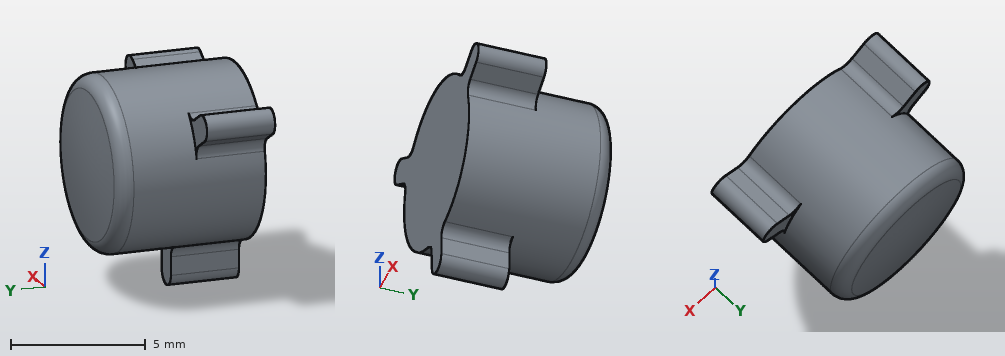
import cadquery as cq
import math

overall_width = 8.79
total_depth = 6.0
body_radius = 3.4
dome_radius = 22.415
rim_radius = 0.6
arm_depth = 2.7
arm_half_width = 0.5
root_radius = 0.5
arm_angles = (0, 120, 240)

arm_slope = math.radians(30)
tip_centre = (overall_width / 2 - arm_half_width) / math.cos(arm_slope)


def make_body():
    """Cylinder along +Y with a flat front and a rounded, domed back."""
    dome_centre_y = total_depth - dome_radius
    rim_centre_x = body_radius - rim_radius
    centre_distance = dome_radius - rim_radius
    rim_rise = math.sqrt(centre_distance**2 - rim_centre_x**2)
    rim_centre_y = dome_centre_y + rim_rise
    rim_tilt = math.atan2(rim_rise, rim_centre_x)

    def on_rim(angle):
        return (
            rim_centre_x + rim_radius * math.cos(angle),
            rim_centre_y + rim_radius * math.sin(angle),
        )

    dome_mid_angle = (rim_tilt + math.pi / 2) / 2
    dome_mid = (
        dome_radius * math.cos(dome_mid_angle),
        dome_centre_y + dome_radius * math.sin(dome_mid_angle),
    )
    return (
        cq.Workplane("XY")
        .lineTo(body_radius, 0)
        .lineTo(body_radius, rim_centre_y)
        .threePointArc(on_rim(rim_tilt / 2), on_rim(rim_tilt))
        .threePointArc(dome_mid, (0, total_depth))
        .close()
        .revolve(360, (0, 0), (0, 1))
    )


def make_arm():
    """Round-tipped arm pointing to -Z, with fillets flaring into the body."""
    root_centre_x = arm_half_width + root_radius
    root_centre_distance = body_radius + root_radius
    root_centre_z = -math.sqrt(root_centre_distance**2 - root_centre_x**2)
    foot_ratio = body_radius / root_centre_distance
    foot_x = root_centre_x * foot_ratio
    foot_z = root_centre_z * foot_ratio

    foot_angle = math.atan2(-root_centre_z, -root_centre_x)
    mid_angle = (foot_angle + math.pi) / 2
    mid_x = root_centre_x + root_radius * math.cos(mid_angle)
    mid_z = root_centre_z + root_radius * math.sin(mid_angle)

    return (
        cq.Workplane("XZ")
        .lineTo(foot_x, foot_z)
        .threePointArc((mid_x, mid_z), (arm_half_width, root_centre_z))
        .lineTo(arm_half_width, -tip_centre)
        .threePointArc((0, -tip_centre - arm_half_width), (-arm_half_width, -tip_centre))
        .lineTo(-arm_half_width, root_centre_z)
        .threePointArc((-mid_x, mid_z), (-foot_x, foot_z))
        .close()
        .extrude(-arm_depth)
    )


result = make_body()
arm = make_arm()
for angle in arm_angles:
    result = result.union(arm.rotate((0, 0, 0), (0, 1, 0), angle))